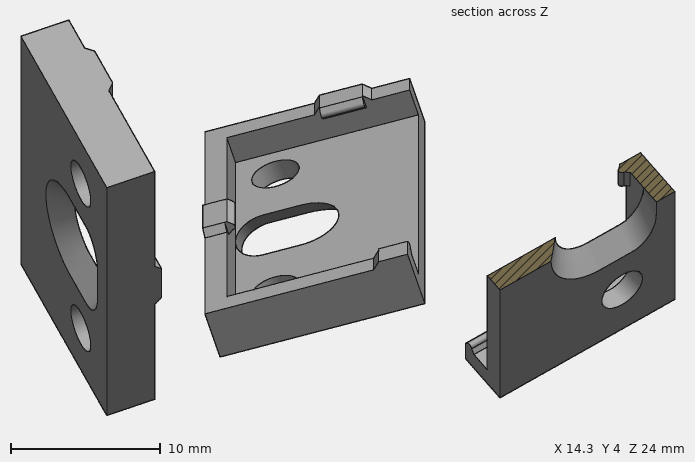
import cadquery as cq

width = 14.3
height = 24.0
depth = 4.0
floor_thickness = 1.5
wall = 1.54
wall_depth = 3.5
mid_z = height / 2
inner_x = width - wall

tab_length = 3.0
tab_ramp = depth - wall_depth
top_tab_center = 4.65
bottom_tab_end = 2.02

catch_root_y = 3.02
catch_slope_end = (0.34, 3.3)
catch_crest = (0.58, 3.53)
catch_lead_start = (0.48, 3.72)
catch_lead_end = (0.17, depth)

hole_diameter = 3.3
hole_x = 9.98
hole_offset = 7.6

window_front_radius = 4.0
window_back_radius = 2.62
window_left_center = 8.18
window_right_start = 10.82
center_overlap = 0.02


def box(x_size, y_size, z_size, x=0.0, y=0.0, z=0.0):
    """Box with its lowest corner at x, y, z."""
    return cq.Workplane("XY").box(x_size, y_size, z_size, centered=False).translate((x, y, z))


def make_body():
    """Shallow tray with walls on the top, bottom and +X sides."""
    body = box(width, wall_depth, height)
    return body.cut(box(inner_x, wall_depth, height - 2 * wall, y=floor_thickness, z=wall))


def make_tab(start, end):
    """Tab along X on the bottom wall, with its catch pointing up."""
    ridge = (
        cq.Workplane("XY")
        .moveTo(start - tab_ramp, wall_depth)
        .lineTo(start, depth)
        .lineTo(end, depth)
        .lineTo(end + tab_ramp, wall_depth)
        .lineTo(end + tab_ramp, floor_thickness)
        .lineTo(start - tab_ramp, floor_thickness)
        .close()
        .extrude(wall)
    )

    def yz(point):
        return (point[1], wall + point[0])

    catch = (
        cq.Workplane("YZ", origin=(start, 0, 0))
        .moveTo(catch_root_y, wall / 2)
        .lineTo(catch_root_y, wall)
        .lineTo(*yz(catch_slope_end))
        .threePointArc(yz(catch_crest), yz(catch_lead_start))
        .lineTo(*yz(catch_lead_end))
        .lineTo(depth, wall / 2)
        .close()
        .extrude(end - start)
    )
    return ridge.union(catch)


def make_tabs():
    """Tabs on the bottom, top and +X walls."""
    half = tab_length / 2
    bottom = make_tab(bottom_tab_end - tab_length, bottom_tab_end).intersect(box(width, depth, height))
    top = make_tab(top_tab_center - half, top_tab_center + half)
    top = top.mirror("XY", (0, 0, mid_z))
    side = make_tab(-half, half).rotate((0, 0, 0), (0, 1, 0), -90)
    side = side.translate((width, 0, mid_z))
    return bottom, top, side


def make_window_half():
    """Upper half of the window right of its round end; the curved corner leans in Z only."""

    def outline(y, top):
        def point(x, z):
            return cq.Vector(x, y, mid_z + z)

        corner_z = top - window_back_radius
        corner = cq.Edge.makeEllipse(
            window_back_radius, inner_x - window_right_start,
            point(window_right_start, corner_z), angle1=0, angle2=90,
            dir=cq.Vector(0, 1, 0), xdir=cq.Vector(0, 0, 1),
        )
        corners = [
            point(inner_x, corner_z),
            point(inner_x, -center_overlap),
            point(window_left_center, -center_overlap),
            point(window_left_center, top),
            point(window_right_start, top),
        ]
        sides = [cq.Edge.makeLine(start, end) for start, end in zip(corners, corners[1:])]
        return cq.Wire.assembleEdges([corner] + sides)

    front = outline(0, window_front_radius)
    back = outline(floor_thickness, window_back_radius)
    return cq.Workplane(cq.Solid.makeLoft([front, back], True))


def make_window():
    """Window with a conical -X end and two curved corners at +X."""
    cone = cq.Workplane(
        cq.Solid.makeCone(
            window_front_radius, window_back_radius, floor_thickness,
            cq.Vector(window_left_center, 0, mid_z), cq.Vector(0, 1, 0),
        )
    )
    cone = cone.intersect(box(window_left_center, depth, height))
    upper = make_window_half()
    return cone.union(upper).union(upper.mirror("XY", (0, 0, mid_z)))


def make_screw_holes():
    return (
        cq.Workplane("XZ")
        .pushPoints([(hole_x, mid_z - hole_offset), (hole_x, mid_z + hole_offset)])
        .circle(hole_diameter / 2)
        .extrude(-floor_thickness)
    )


result = make_body()
for tab in make_tabs():
    result = result.union(tab)
result = result.cut(make_window()).cut(make_screw_holes())